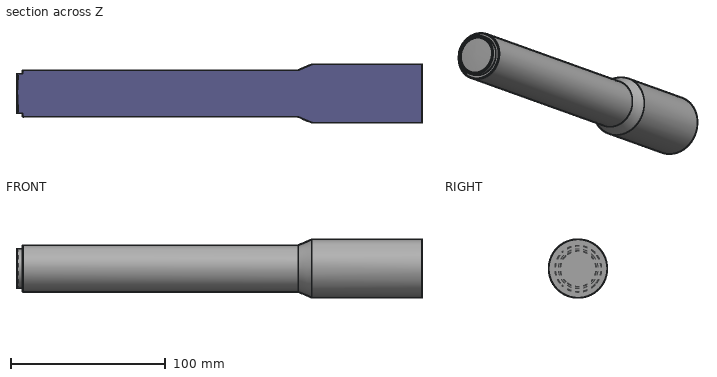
import cadquery as cq

total_length = 261.8
tip_length = 3.7
shank_chamfer = 0.5
cone_start = 181.7
cone_length = 9.0

tip_diameter = 25.7
shank_diameter = 30.5
head_diameter = 38.0

recess_mouth_diameter = 23.5
recess_floor_diameter = 22.8
recess_depth = 0.8
dome_height = 0.5

tip_x = -total_length / 2
shank_x = tip_x + tip_length
cone_x = tip_x + cone_start
head_x = cone_x + cone_length
end_x = total_length / 2


def revolve_about_x(profile):
    """Turn a half-profile, drawn as (x, radius), into a solid about X."""
    return profile.close().revolve(360, (0, 0, 0), (1, 0, 0))


def make_body():
    """Stepped barrel: tip, chamfered shank, cone and head."""
    profile = (
        cq.Workplane("XY")
        .moveTo(tip_x, 0)
        .lineTo(tip_x, tip_diameter / 2)
        .lineTo(shank_x, tip_diameter / 2)
        .lineTo(shank_x, shank_diameter / 2 - shank_chamfer)
        .lineTo(shank_x + shank_chamfer, shank_diameter / 2)
        .lineTo(cone_x, shank_diameter / 2)
        .lineTo(head_x, head_diameter / 2)
        .lineTo(end_x, head_diameter / 2)
        .lineTo(end_x, 0)
    )
    return revolve_about_x(profile)


def make_recess():
    """Cutter for the tip recess, with tapered walls and a floor that bulges toward the tip."""
    floor_radius = recess_floor_diameter / 2
    floor_x = tip_x + recess_depth
    dome_radius = (floor_radius**2 + dome_height**2) / (2 * dome_height)
    profile = (
        cq.Workplane("XY")
        .moveTo(tip_x, 0)
        .lineTo(tip_x, recess_mouth_diameter / 2)
        .lineTo(floor_x, floor_radius)
        .radiusArc((floor_x - dome_height, 0), -dome_radius)
    )
    return revolve_about_x(profile)


result = make_body().cut(make_recess())